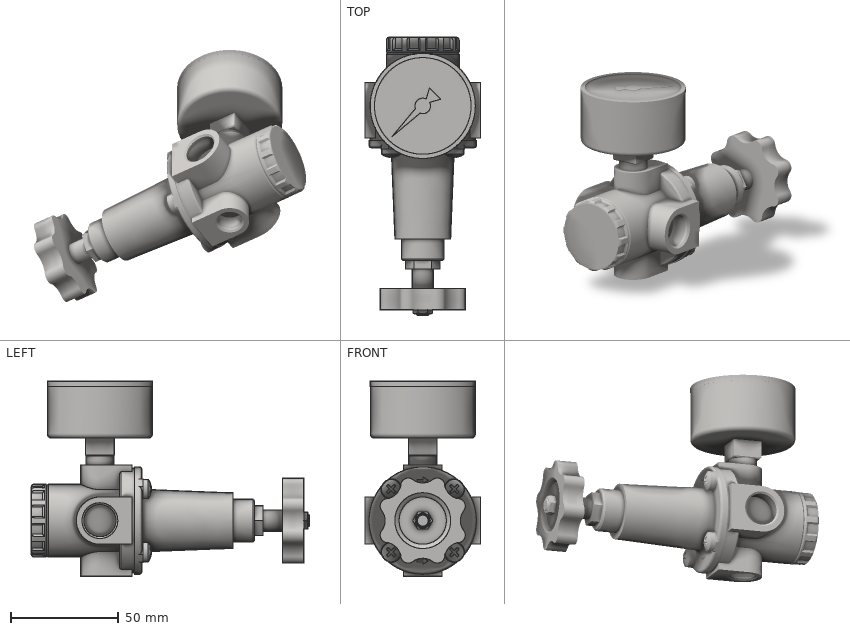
import cadquery as cq
import math


body_dia = 34.0
body_end_y = 24.0
boss_front_y = -15.0
side_boss_dia = 22.0
side_boss_reach = 27.0
upright_boss_dia = 18.0
upright_boss_reach = 26.0
collar_dia = 49.0
collar_back_y = -9.2
collar_chamfer = 0.7

side_port_major_dia = 16.66
side_port_minor_dia = 14.95
lower_port_major_dia = 13.16
lower_port_minor_dia = 11.45
port_depth = 10.0
port_flare_length = 2.3

cap_end_y = 32.0
cap_edge_radius = 1.5
cap_groove_width = 1.2
cap_groove_depth = 0.6
flute_count = 12
flute_depth = 1.0
flute_start_y = 25.8
flute_rib_width = 2.0

flange_dia = 50.0
flange_back_y = -16.0
flange_face_y = -19.5
flange_edge_radius = 1.2
screw_count = 4
screw_circle_radius = 20.8
pad_dia = 9.5
pad_face_y = -20.0
screw_head_dia = 9.0
screw_rim_y = -22.5
screw_top_y = -24.0
cross_length = 5.0
cross_width = 1.1
cross_depth = 1.2

arrow_height_z = 18.8
arrow_length = 5.2
arrow_head_length = 2.4
arrow_head_width = 2.8
arrow_shaft_width = 0.9
arrow_depth = 0.2

bonnet_base_dia = 29.4
bonnet_end_dia = 26.0
bonnet_end_y = -62.0
bonnet_fillet = 2.0
sleeve_dia = 20.0
sleeve_end_y = -72.0
sleeve_chamfer = 0.8
lock_nut_flats = 14.0
lock_nut_end_y = -76.0
stem_dia = 10.0

wheel_back_y = -85.0
wheel_face_y = -95.0
lobe_count = 8
lobe_radius = 3.55
lobe_circle_radius = 17.6
valley_circle_radius = 25.0
dish_dia = 26.0
dish_floor_dia = 22.0
dish_depth = 2.0
wheel_nut_flats = 8.0
wheel_nut_top_y = -97.0
wheel_nut_top_dia = 7.0
nut_chamfer_angle = 30.0
bolt_dia = 6.0
bolt_tip_dia = 5.1
bolt_tip_y = -97.5

bezel_dia = 49.0
bezel_bottom_z = 62.5
gauge_top_z = 65.0
case_dia = 48.96
case_bottom_z = 38.4
case_edge_radius = 2.0
dial_dia = 45.0
dial_recess = 0.5
block_width = 13.5
block_bottom_z = 30.0
block_chamfer = 0.5
neck_dia = 13.16
pointer_height = 0.2
pointer_hub_radius = 3.6
pointer_tail_length = 8.1
pointer_tail_half_width = 3.7
pointer_neck_half_width = 1.2
pointer_needle_length = 20.3
pointer_needle_half_width = 1.5
pointer_heading = 45.0


def front_plane(y):
    """Sketch plane facing -Y at the given Y: local x is X, local y is Z."""
    return cq.Workplane("XZ", origin=(0, y, 0))


def rod(dia, y_start, y_end):
    """Cylinder on the regulator axis, running toward -Y."""
    return front_plane(y_start).circle(dia / 2).extrude(y_start - y_end)


def hexagon(flats, y_start, y_end):
    """Hexagonal prism on the regulator axis with two corners on the X axis."""
    across_corners = flats / math.cos(math.pi / 6)
    return front_plane(y_start).polygon(6, across_corners).extrude(y_start - y_end)


def turned(points):
    """Solid of revolution about the Y axis from (radius, y) points."""
    return cq.Workplane("XY").polyline(points).close().revolve(360, (0, 0), (0, 1))


def port_boss(dia, reach):
    """Boss along Z on both sides of the axis: round toward the cap, square toward the flange."""
    round_part = cq.Workplane("XY").circle(dia / 2).extrude(reach, both=True)
    square_part = (
        cq.Workplane("XY")
        .center(0, boss_front_y / 2)
        .rect(dia, -boss_front_y)
        .extrude(reach, both=True)
    )
    return round_part.union(square_part)


def port_cutter(major_dia, minor_dia, reach):
    """Port bore opening toward -Y at y = -reach: it narrows at the mouth and flares out again."""
    major_radius = major_dia / 2
    minor_radius = minor_dia / 2
    mouth_depth = major_radius - minor_radius
    return turned([
        (0, -reach),
        (major_radius, -reach),
        (minor_radius, -reach + mouth_depth),
        (major_radius, -reach + mouth_depth + port_flare_length),
        (major_radius, -reach + port_depth),
        (0, -reach + port_depth),
    ])


def make_body():
    body = rod(body_dia, body_end_y, flange_face_y)
    collar = rod(collar_dia, collar_back_y, flange_back_y).faces(">Y").chamfer(collar_chamfer)
    body = body.union(collar)
    side_bosses = port_boss(side_boss_dia, side_boss_reach).rotate((0, 0, 0), (0, 1, 0), 90)
    body = body.union(side_bosses).union(port_boss(upright_boss_dia, upright_boss_reach))
    side_port = port_cutter(side_port_major_dia, side_port_minor_dia, side_boss_reach)
    for turn in (-90, 90):
        body = body.cut(side_port.rotate((0, 0, 0), (0, 0, 1), turn))
    lower_port = port_cutter(lower_port_major_dia, lower_port_minor_dia, upright_boss_reach)
    return body.cut(lower_port.rotate((0, 0, 0), (1, 0, 0), 90))


def make_flutes():
    """Ring of finger flutes around the cap, every wall sloping at 45 degrees."""
    outer = body_dia / 2
    floor = outer - flute_depth
    ring = turned([
        (floor, cap_end_y),
        (floor, flute_start_y + flute_depth),
        (outer, flute_start_y),
        (outer + flute_depth, flute_start_y),
        (outer + flute_depth, cap_end_y),
    ])
    half_pitch = math.pi / flute_count
    rim_half = outer * math.sin(half_pitch) - flute_rib_width / 2
    inner_half = rim_half - 2 * flute_depth
    outer_half = rim_half + flute_depth
    flutes = cq.Workplane("XY")
    for index in range(flute_count):
        wedge = (
            front_plane(cap_end_y)
            .polyline([
                (outer - 2 * flute_depth, -inner_half),
                (outer + flute_depth, -outer_half),
                (outer + flute_depth, outer_half),
                (outer - 2 * flute_depth, inner_half),
            ])
            .close()
            .extrude(cap_end_y - flute_start_y)
            .rotate((0, 0, 0), (0, 1, 0), (index + 0.5) * 360 / flute_count)
        )
        flutes = flutes.add(ring.intersect(wedge))
    return flutes


def make_cap():
    cap = rod(body_dia, cap_end_y, body_end_y).faces(">Y").edges().fillet(cap_edge_radius)
    outer = body_dia / 2
    groove = turned([
        (outer, body_end_y),
        (outer - cap_groove_depth, body_end_y + cap_groove_width / 2),
        (outer, body_end_y + cap_groove_width),
    ])
    cap = cap.cut(groove)
    for flute in make_flutes().vals():
        cap = cap.cut(cq.Workplane(flute))
    return cap


def make_screw():
    """Screw on its pad, on the +X side of the axis, with a cross-recessed domed head."""
    flange_envelope = rod(flange_dia, flange_back_y, pad_face_y).rotate((0, 0, 0), (0, 1, 0), 180)
    pad = (
        front_plane(flange_back_y)
        .center(screw_circle_radius, 0)
        .circle(pad_dia / 2)
        .extrude(flange_back_y - pad_face_y)
        .intersect(flange_envelope)
    )
    radius = screw_head_dia / 2
    dome_height = screw_rim_y - screw_top_y
    dome_radius = (radius**2 + dome_height**2) / (2 * dome_height)
    mid_angle = math.asin(radius / dome_radius) / 2
    dome_mid = (
        dome_radius * math.sin(mid_angle),
        screw_top_y + dome_radius * (1 - math.cos(mid_angle)),
    )
    head = (
        cq.Workplane("XY")
        .moveTo(0, pad_face_y)
        .lineTo(radius, pad_face_y)
        .lineTo(radius, screw_rim_y)
        .threePointArc(dome_mid, (0, screw_top_y))
        .close()
        .revolve(360, (0, 0), (0, 1))
    )
    for size in ((cross_length, cross_width), (cross_width, cross_length)):
        head = head.cut(front_plane(screw_top_y + cross_depth).rect(*size).extrude(cross_depth))
    return pad.union(head.translate((screw_circle_radius, 0, 0)))


def make_arrow():
    """Flow arrow pointing to +X, centred on the regulator axis."""
    start = -arrow_length / 2
    neck = arrow_length / 2 - arrow_head_length
    return (
        front_plane(flange_face_y + arrow_depth)
        .polyline([
            (start, -arrow_shaft_width / 2),
            (neck, -arrow_shaft_width / 2),
            (neck, -arrow_head_width / 2),
            (arrow_length / 2, 0),
            (neck, arrow_head_width / 2),
            (neck, arrow_shaft_width / 2),
            (start, arrow_shaft_width / 2),
        ])
        .close()
        .extrude(arrow_depth)
    )


def make_flange():
    flange = rod(flange_dia, flange_back_y, flange_face_y)
    flange = flange.faces("<Y").edges().fillet(flange_edge_radius)
    for side in (-1, 1):
        flange = flange.cut(make_arrow().translate((0, 0, side * arrow_height_z)))
    screw = make_screw()
    for index in range(screw_count):
        flange = flange.union(screw.rotate((0, 0, 0), (0, 1, 0), (index + 0.5) * 360 / screw_count))
    return flange


def make_bonnet():
    """Tapered spring housing with a root fillet, ending in a plain sleeve and lock nut."""
    base = bonnet_base_dia / 2
    taper = math.atan2(base - bonnet_end_dia / 2, flange_face_y - bonnet_end_y)
    root_offset = bonnet_fillet * math.tan(math.pi / 4 - taper / 2)
    root_radius = base + root_offset
    centre_y = flange_face_y - bonnet_fillet
    wall_end = (
        root_radius - bonnet_fillet * math.cos(taper),
        centre_y + bonnet_fillet * math.sin(taper),
    )
    mid_angle = (math.pi / 2 + taper) / 2
    arc_mid = (
        root_radius - bonnet_fillet * math.cos(mid_angle),
        centre_y + bonnet_fillet * math.sin(mid_angle),
    )
    cone = (
        cq.Workplane("XY")
        .moveTo(0, flange_face_y)
        .lineTo(root_radius, flange_face_y)
        .threePointArc(arc_mid, wall_end)
        .lineTo(bonnet_end_dia / 2, bonnet_end_y)
        .lineTo(0, bonnet_end_y)
        .close()
        .revolve(360, (0, 0), (0, 1))
    )
    sleeve = rod(sleeve_dia, bonnet_end_y, sleeve_end_y).faces("<Y").chamfer(sleeve_chamfer)
    lock_nut = hexagon(lock_nut_flats, sleeve_end_y, lock_nut_end_y)
    stem = rod(stem_dia, lock_nut_end_y, wheel_back_y)
    return cone.union(sleeve).union(lock_nut).union(stem)


def polar(radius, angle):
    """Point at the given radius and angle (radians) in a sketch plane."""
    return (radius * math.cos(angle), radius * math.sin(angle))


def make_wheel():
    """Handwheel whose rim alternates convex lobes and concave valleys in tangent arcs."""
    half_pitch = math.pi / lobe_count
    lobe = polar(lobe_circle_radius, half_pitch)
    valley = (valley_circle_radius, 0)
    centre_gap = math.dist(lobe, valley)
    share = lobe_radius / centre_gap
    meet_x = lobe[0] + (valley[0] - lobe[0]) * share
    meet_y = lobe[1] + (valley[1] - lobe[1]) * share
    meet_radius = math.hypot(meet_x, meet_y)
    meet_angle = math.atan2(meet_y, meet_x)
    valley_bottom = valley_circle_radius - (centre_gap - lobe_radius)
    rim = front_plane(wheel_back_y).moveTo(*polar(meet_radius, -meet_angle))
    for index in range(lobe_count):
        valley_angle = 2 * half_pitch * index
        lobe_angle = valley_angle + half_pitch
        next_valley = valley_angle + 2 * half_pitch
        rim = rim.threePointArc(
            polar(valley_bottom, valley_angle),
            polar(meet_radius, valley_angle + meet_angle),
        )
        rim = rim.threePointArc(
            polar(lobe_circle_radius + lobe_radius, lobe_angle),
            polar(meet_radius, next_valley - meet_angle),
        )
    wheel = rim.close().extrude(wheel_back_y - wheel_face_y)
    dish_floor_y = wheel_face_y + dish_depth
    dish = turned([
        (0, wheel_face_y),
        (dish_dia / 2, wheel_face_y),
        (dish_floor_dia / 2, dish_floor_y),
        (0, dish_floor_y),
    ])
    wheel = wheel.cut(dish)

    nut = hexagon(wheel_nut_flats, dish_floor_y, wheel_nut_top_y)
    nut_height = dish_floor_y - wheel_nut_top_y
    top_radius = wheel_nut_top_dia / 2
    waist_radius = top_radius + nut_height / 2 / math.tan(math.radians(nut_chamfer_angle))
    nut_cones = turned([
        (0, wheel_nut_top_y),
        (top_radius, wheel_nut_top_y),
        (waist_radius, wheel_nut_top_y + nut_height / 2),
        (top_radius, dish_floor_y),
        (0, dish_floor_y),
    ])
    bolt_tip = turned([
        (0, wheel_nut_top_y),
        (bolt_dia / 2, wheel_nut_top_y),
        (bolt_tip_dia / 2, bolt_tip_y),
        (0, bolt_tip_y),
    ])
    return wheel.union(nut.intersect(nut_cones)).union(bolt_tip)


def make_regulator():
    regulator = make_body()
    for section in (make_cap(), make_flange(), make_bonnet(), make_wheel()):
        regulator = regulator.union(section)
    return regulator


def make_pointer(bottom_z):
    """Pointer with its needle toward -X before it is turned to its heading."""
    outline = [
        (-pointer_needle_length, 0),
        (-pointer_hub_radius, pointer_needle_half_width),
        (pointer_hub_radius, pointer_neck_half_width),
        (pointer_tail_length, pointer_tail_half_width),
    ]
    mirrored = [(x, -y) for x, y in reversed(outline[1:])]
    plane = cq.Workplane("XY", origin=(0, 0, bottom_z))
    blade = plane.polyline(outline + mirrored).close().extrude(pointer_height)
    hub = plane.circle(pointer_hub_radius).extrude(pointer_height)
    return blade.union(hub).rotate((0, 0, 0), (0, 0, 1), pointer_heading)


def disc(dia, bottom_z, top_z):
    """Cylinder on the gauge axis."""
    return cq.Workplane("XY", origin=(0, 0, bottom_z)).circle(dia / 2).extrude(top_z - bottom_z)


def make_gauge():
    dial_z = gauge_top_z - dial_recess
    case = disc(case_dia, case_bottom_z, bezel_bottom_z).faces("<Z").edges().fillet(case_edge_radius)
    gauge = case.union(disc(bezel_dia, bezel_bottom_z, gauge_top_z))
    gauge = gauge.cut(disc(dial_dia, dial_z, gauge_top_z))
    gauge = gauge.union(make_pointer(dial_z))

    block_height = case_bottom_z - block_bottom_z
    block = (
        cq.Workplane("XY", origin=(0, 0, block_bottom_z))
        .rect(block_width, block_width)
        .extrude(block_height)
        .faces("<Z")
        .chamfer(block_chamfer)
    )
    return gauge.union(block).union(disc(neck_dia, upright_boss_reach, block_bottom_z))


regulator = make_regulator()
gauge = make_gauge()

result = cq.Compound.makeCompound([regulator.solids().val(), gauge.solids().val()])